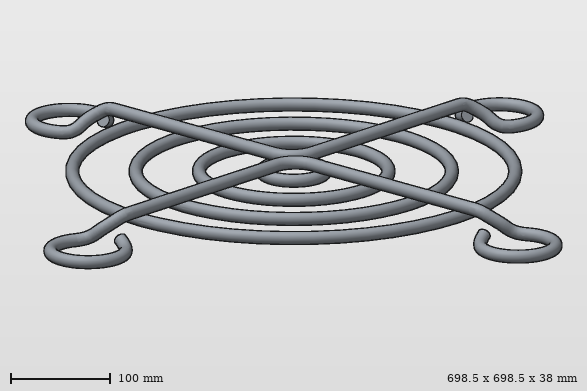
import cadquery as cq
import math

span = 698.5
wire_diameter = 13.0
wire_radius = wire_diameter / 2
layer_pitch = 12.5

loop_z = wire_radius
ring_z = loop_z + layer_pitch
spoke_z = ring_z + layer_pitch

ring_count = 4
inner_ring_radius = 31.5
ring_pitch = 63.5

bend_radius = 26.0
spoke_end = 244.5

loop_radius = 38.0
loop_centre_y = span / 2 - wire_radius - loop_radius
loop_start_angle = -28.0
loop_end_angle = 180.0 - loop_start_angle
shank_angle = -67.0
shank_z = 17.5
elbow = cq.Vector(5.5, 261.0, 26.0)
free_end_angle = 254.0
free_end_rise = 6.0


def loop_point(angle, z=loop_z):
    """Point on the loop circle of the +Y spoke."""
    a = math.radians(angle)
    return cq.Vector(loop_radius * math.cos(a), loop_centre_y + loop_radius * math.sin(a), z)


def loop_tangent(angle):
    """Counter-clockwise direction along the loop circle."""
    a = math.radians(angle)
    return cq.Vector(-math.sin(a), math.cos(a), 0)


def sweep_wire(edges, start, direction):
    """Round wire following the edges from the start point."""
    profile = cq.Workplane(cq.Plane(origin=start, normal=direction)).circle(wire_radius)
    path = cq.Wire.assembleEdges(edges)
    return profile.sweep(cq.Workplane(obj=path)).val()


def make_ring(radius):
    return cq.Solid.makeTorus(radius, wire_radius, cq.Vector(0, 0, ring_z))


def make_arm():
    """The +Y spoke, its descending shank, the open loop and the raised free end."""
    inner = cq.Vector(0, bend_radius, spoke_z)
    outer = cq.Vector(0, spoke_end, spoke_z)
    outward = cq.Vector(0, 1, 0)
    loop_start = loop_point(loop_start_angle)
    loop_end = loop_point(loop_end_angle)
    spoke = cq.Edge.makeLine(inner, outer)
    shank = cq.Edge.makeSpline(
        [outer, elbow, loop_point(shank_angle, shank_z), loop_start],
        tangents=[outward, loop_tangent(loop_start_angle)],
    )
    loop = cq.Edge.makeThreePointArc(loop_start, loop_point(90), loop_end)
    tip = loop_point(free_end_angle, loop_z + free_end_rise)
    tip_direction = loop_tangent(free_end_angle) + cq.Vector(0, 0, free_end_rise / 14)
    free_end = cq.Edge.makeSpline([loop_end, tip], tangents=[loop_tangent(loop_end_angle), tip_direction])
    return sweep_wire([spoke, shank, loop, free_end], inner, outward)


def make_bend():
    """Quarter bend from the +Y spoke to the -X spoke."""
    start = cq.Vector(0, bend_radius, spoke_z)
    end = cq.Vector(-bend_radius, 0, spoke_z)
    offset = bend_radius * (1 - math.sqrt(0.5))
    middle = cq.Vector(-offset, offset, spoke_z)
    return sweep_wire([cq.Edge.makeThreePointArc(start, middle, end)], start, cq.Vector(0, -1, 0))


plus_y_arm = make_arm()
minus_x_arm = plus_y_arm.mirror("XZ").rotate(cq.Vector(0, 0, 0), cq.Vector(0, 0, 1), -90)
spoke_pair = plus_y_arm.fuse(make_bend(), minus_x_arm)
opposite_pair = spoke_pair.rotate(cq.Vector(0, 0, 0), cq.Vector(0, 0, 1), 180)

guard = cq.Workplane(obj=spoke_pair).union(cq.Workplane(obj=opposite_pair))
for index in range(ring_count):
    guard = guard.union(cq.Workplane(obj=make_ring(inner_ring_radius + index * ring_pitch)))

result = cq.Workplane(obj=guard.solids().val())